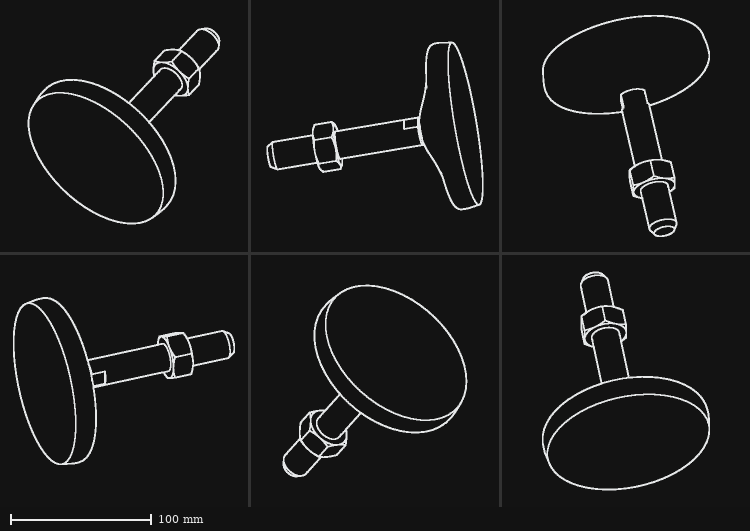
import cadquery as cq
import math

total_length = 143.0

plate_radius = 120.0 / 2
sole_radius = 58.6
band_start = 8.9
band_end = 12.0
rim_fillet = 4.7
flare_start_slope = 8.3
crown_radius = 15.5
crown_height = 29.6
crown_flat_radius = 5.6
plate_height = 32.0

stud_diameter = 20.0
stud_start = 32.9
tip_radius = 7.5
tip_length = 4.5
neck_diameter = 10.0
neck_overlap = 1.5
wrench_width = 17.2
wrench_length = 10.0

nut_across_flats = 30.0
nut_start = 93.0
nut_height = 15.2
nut_chamfer_angle = 30.0


def revolve_about_y(profile):
    return profile.close().revolve(360, (0, 0, 0), (0, 1, 0))


def cylinder_y(diameter, start, end):
    base = cq.Workplane("XZ", origin=(0, start, 0))
    return base.circle(diameter / 2).extrude(start - end)


def make_plate():
    """Tapered sole, straight band, rounded rim, concave flare and domed crown."""
    slope = math.radians(flare_start_slope)

    def rim_point(angle):
        x = plate_radius - rim_fillet + rim_fillet * math.sin(angle)
        y = band_end + rim_fillet * math.cos(angle)
        return x, y

    rim_middle = rim_point((slope + math.pi / 2) / 2)
    profile = (
        cq.Workplane("XY")
        .lineTo(sole_radius, 0)
        .lineTo(plate_radius, band_start)
        .lineTo(plate_radius, band_end)
        .threePointArc(rim_middle, rim_point(slope))
        .tangentArcPoint((crown_radius, crown_height), relative=False)
        .tangentArcPoint((crown_flat_radius, plate_height), relative=False)
        .lineTo(0, plate_height)
    )
    return revolve_about_y(profile)


def make_stud():
    """Round stud with a conical tip and two wrench flats facing +X and -X."""
    stud_radius = stud_diameter / 2
    profile = (
        cq.Workplane("XY")
        .moveTo(0, stud_start)
        .lineTo(stud_radius, stud_start)
        .lineTo(stud_radius, total_length - tip_length)
        .lineTo(tip_radius, total_length)
        .lineTo(0, total_length)
    )
    stud = revolve_about_y(profile)
    for side in (-1, 1):
        cutter = cq.Workplane("XY").box(stud_diameter, wrench_length, stud_diameter)
        offset = side * (wrench_width + stud_diameter) / 2
        stud = stud.cut(cutter.translate((offset, stud_start + wrench_length / 2, 0)))
    return stud


def make_nut():
    """Hexagon with corners on +Z and -Z, chamfered conically at both ends."""
    corner_diameter = nut_across_flats / math.cos(math.pi / 6)
    nut_end = nut_start + nut_height
    hexagon = (
        cq.Workplane("XZ", origin=(0, nut_start, 0))
        .transformed(rotate=(0, 0, 90))
        .polygon(6, corner_diameter)
        .extrude(-nut_height)
    )
    face_radius = nut_across_flats / 2
    corner_radius = corner_diameter / 2
    chamfer = (corner_radius - face_radius) * math.tan(math.radians(nut_chamfer_angle))
    envelope = (
        cq.Workplane("XY")
        .moveTo(0, nut_start)
        .lineTo(face_radius, nut_start)
        .lineTo(corner_radius, nut_start + chamfer)
        .lineTo(corner_radius, nut_end - chamfer)
        .lineTo(face_radius, nut_end)
        .lineTo(0, nut_end)
    )
    return hexagon.intersect(revolve_about_y(envelope))


neck = cylinder_y(neck_diameter, plate_height - neck_overlap, stud_start + neck_overlap)
result = make_plate().union(neck).union(make_stud()).union(make_nut())